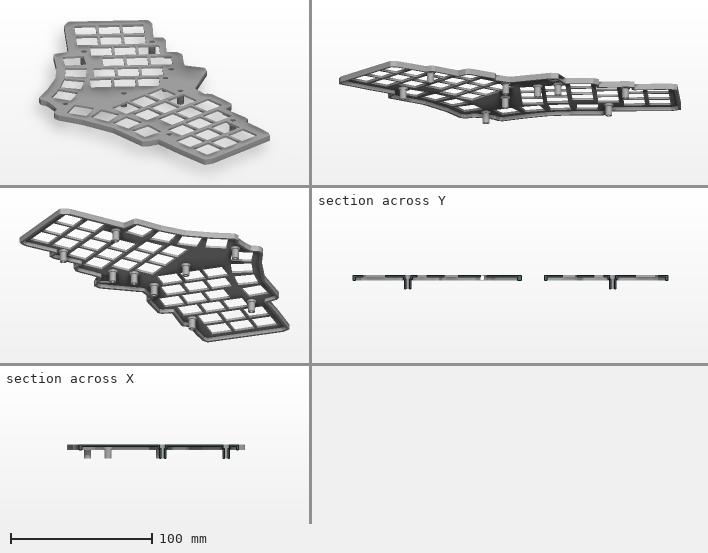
import cadquery as cq
import math

RIM_HEIGHT = 4.0
RIM_WIDTH = 2.0
WEB_THICKNESS = 1.5
TOTAL_HEIGHT = 10.0
MIRROR_X = 0.3

KEY_OPENING = 15.0
KEY_PITCH = 17.0
COLUMN_TILT = 20.0
ROWS = (-1, 0, 1)

COLUMN_CENTERS = [
    (17.3, 2.5),
    (32.7, 12.0),
    (47.2, 25.0),
    (66.7, 24.0),
    (86.8, 21.8),
    (103.8, 28.0),
]

THUMB_KEYS = [
    (64.7, -16.0, 16),
    (46.2, -22.8, 26),
    (29.2, -32.7, 35),
    (14.2, -45.2, 45),
]

STANDOFF_DIAMETER = 4.8
BOSS_DIAMETER = 6.5
BOSS_HEIGHT = 1.5
SCREW_HOLE_DIAMETER = 2.2
COUNTERBORE_DIAMETER = 4.0
COUNTERBORE_DEPTH = 2.5
STANDOFF_CENTERS = [
    (-72.5, 47.5),
    (72.5, 47.5),
    (-76.4, -3.5),
    (76.5, -3.5),
    (-24.4, 41.4),
    (-12.2, 31.7),
    (12.0, 33.0),
    (0.0, -5.5),
    (0.0, -50.7),
]

CONNECTOR_TURN = -45.0
CONNECTOR_ORIGIN = (-23.0, 58.9)
CONNECTOR_ROOF = 0.3
RECESS_START = 3.5
RECESS_END = 12.7
RECESS_WIDTH = 13.2
OPENING_WIDTH = 11.7
OPENING_HEIGHT = 3.3
OPENING_CORNER_RADIUS = 1.0

OUTLINE = [
    (-17.0, 64.2), (-12.0, 63.7), (12.5, 44.0), (24.0, 46.7), (24.0, 48.2), (25.5, 51.3),
    (46.2, 57.5), (49.2, 56.0), (52.8, 50.0), (72.5, 57.5), (75.0, 57.8), (78.5, 54.8),
    (90.5, 58.9), (102.2, 62.2), (106.8, 61.1),
    (126.9, 8.0), (126.4, 2.3), (102.5, -6.9), (81.5, -14.0), (82.0, -22.5), (80.2, -26.0),
    (51.5, -35.8), (30.0, -50.2), (16.2, -63.0), (12.7, -64.2), (10.1, -63.7),
    (6.3, -60.0), (0.0, -59.5), (-9.1, -61.0),
    (-13.0, -64.0), (-16.7, -63.7), (-27.5, -52.8), (-43.0, -39.8), (-60.1, -31.7),
    (-79.7, -25.5), (-80.7, -23.5), (-80.0, -14.0), (-122.3, 1.0), (-126.9, 6.0), (-126.5, 7.9),
    (-107.3, 59.0), (-104.5, 60.0), (-100.7, 60.0), (-78.1, 51.0), (-75.9, 57.5), (-71.3, 57.5),
    (-52.0, 49.7), (-50.0, 56.3), (-45.2, 58.5), (-43.1, 58.4), (-31.0, 54.0), (-26.1, 52.8),
]


def right_hand_keys():
    """Centre and tilt of every right-hand key, measured from the mirror line."""
    tilt = math.radians(COLUMN_TILT)
    keys = list(THUMB_KEYS)
    for x, y in COLUMN_CENTERS:
        for row in ROWS:
            offset = row * KEY_PITCH
            keys.append((x - offset * math.sin(tilt), y + offset * math.cos(tilt), COLUMN_TILT))
    return keys


def key_cutter(x, y, tilt):
    """Square prism through the web for one switch."""
    prism = cq.Workplane("XY").rect(KEY_OPENING, KEY_OPENING).extrude(-WEB_THICKNESS)
    return prism.rotate((0, 0, 0), (0, 0, 1), tilt).translate((x, y, 0))


def connector_cutter():
    """Recess and rim opening for the connector, with their shared top under the roof."""
    recess = cq.Workplane("XY").box(
        RECESS_END - RECESS_START,
        RECESS_WIDTH,
        WEB_THICKNESS - CONNECTOR_ROOF,
        centered=(False, True, False),
    )
    recess = recess.translate((RECESS_START, 0, -WEB_THICKNESS))
    opening = (
        cq.Workplane("YZ", origin=(0, 0, -CONNECTOR_ROOF - OPENING_HEIGHT / 2))
        .rect(OPENING_WIDTH, OPENING_HEIGHT)
        .extrude(RECESS_START)
        .edges("|X")
        .fillet(OPENING_CORNER_RADIUS)
    )
    x, y = CONNECTOR_ORIGIN
    return recess.union(opening).rotate((0, 0, 0), (0, 0, 1), CONNECTOR_TURN).translate((x, y, 0))


plate = cq.Workplane("XY").polyline(OUTLINE).close().extrude(-RIM_HEIGHT)

hollow = (
    cq.Workplane("XY")
    .workplane(offset=-RIM_HEIGHT)
    .polyline(OUTLINE)
    .close()
    .offset2D(-RIM_WIDTH)
    .extrude(RIM_HEIGHT - WEB_THICKNESS)
)
plate = plate.cut(hollow)

for key_x, key_y, key_tilt in right_hand_keys():
    plate = plate.cut(key_cutter(MIRROR_X + key_x, key_y, key_tilt))
    plate = plate.cut(key_cutter(MIRROR_X - key_x, key_y, -key_tilt))

plate = plate.cut(connector_cutter())


def web_cylinders(diameter, height):
    """Cylinders at every standoff centre, hanging from the underside of the web."""
    return (
        cq.Workplane("XY")
        .workplane(offset=-WEB_THICKNESS)
        .pushPoints(STANDOFF_CENTERS)
        .circle(diameter / 2)
        .extrude(-height)
    )


plate = plate.union(web_cylinders(STANDOFF_DIAMETER, TOTAL_HEIGHT - WEB_THICKNESS))
plate = plate.union(web_cylinders(BOSS_DIAMETER, BOSS_HEIGHT))

result = (
    plate.faces(">Z")
    .workplane(origin=(0, 0, 0))
    .pushPoints(STANDOFF_CENTERS)
    .cboreHole(SCREW_HOLE_DIAMETER, COUNTERBORE_DIAMETER, COUNTERBORE_DEPTH)
)